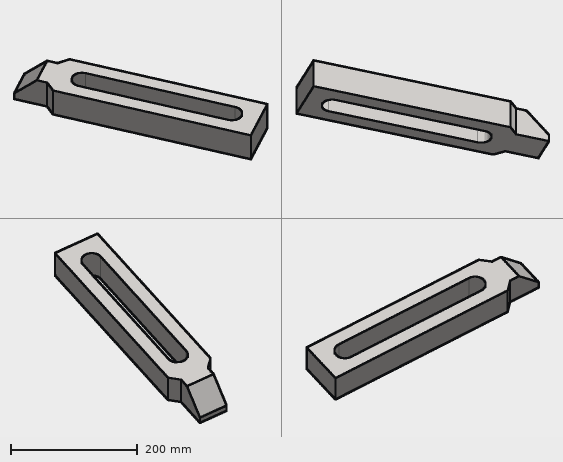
import cadquery as cq

length = 400.0
width = 80.0
height = 50.0

nose_width = 50.0
nose_length = 55.0
tip_height = 12.0
slope_run = height - tip_height

shoulder = (width - nose_width) / 2
shoulder_end = nose_length + shoulder

slot_start = 88.5
slot_end = 371.0
slot_width = 33.0


def make_bar():
    """Bar with its narrowed nose, symmetric about the XZ plane."""
    return (
        cq.Workplane("XY")
        .moveTo(0, -nose_width / 2)
        .lineTo(nose_length, -nose_width / 2)
        .lineTo(shoulder_end, -width / 2)
        .lineTo(length, -width / 2)
        .lineTo(length, width / 2)
        .lineTo(shoulder_end, width / 2)
        .lineTo(nose_length, nose_width / 2)
        .lineTo(0, nose_width / 2)
        .close()
        .extrude(height)
    )


def make_slope_cut():
    """Wedge removed from the top of the nose."""
    return (
        cq.Workplane("XZ")
        .moveTo(0, tip_height)
        .lineTo(slope_run, height)
        .lineTo(0, height)
        .close()
        .extrude(width / 2, both=True)
    )


def make_slot():
    """Slot body running through the full height."""
    return (
        cq.Workplane("XY")
        .center((slot_start + slot_end) / 2, 0)
        .slot2D(slot_end - slot_start, slot_width)
        .extrude(height)
    )


result = make_bar().cut(make_slope_cut()).cut(make_slot())